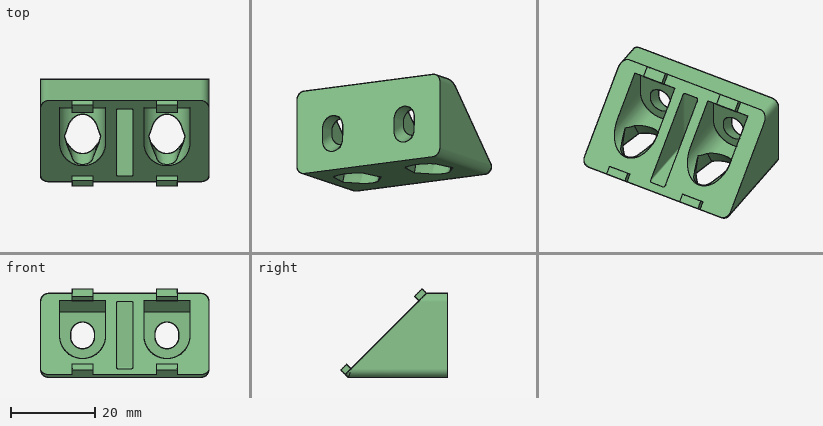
import cadquery as cq

length = 40.0
height = 20.0
top_reach = 5.05
toe_height = 0.7
corner_radius = 2.0
slope_sum = height + top_reach
toe_reach = slope_sum - toe_height

bay_spacing = 20.0
bay_centers = (-bay_spacing / 2, bay_spacing / 2)

tab_width = 5.0
tab_rise = 1.05
upper_tab_drop = 1.8
lower_tab_drop = 1.4

pocket_radius = 5.5
pocket_axis_height = 10.0
pocket_top = 18.25
pocket_wall = 4.1

back_hole_width = 5.6
back_hole_height = 6.3
back_hole_drop = 2.4

base_hole_top = 6.8
base_arc_half_width = 2.5

slot_width = 3.95
slot_floor = 2.1
slot_wall = 7.0
slot_fillet = 0.4


def extrude_across(profile, width, center=0.0):
    """Extrude a (reach, height) outline along X, centred on the given X."""
    points = [(-reach, z) for reach, z in profile]
    solid = cq.Workplane("YZ").polyline(points).close().extrude(width / 2, both=True)
    return solid.translate((center, 0, 0))


def make_body():
    profile = [
        (0, 0),
        (toe_reach - toe_height, 0),
        (toe_reach, toe_height),
        (top_reach, height),
        (0, height),
    ]
    body = extrude_across(profile, length)
    bevel_direction = cq.Vector(0, -1, 1)
    along_y = cq.selectors.ParallelDirSelector(cq.Vector(0, 1, 0))
    along_bevel = cq.selectors.ParallelDirSelector(bevel_direction)
    return body.edges(along_y + along_bevel).fillet(corner_radius)


def make_tab(center, top, drop):
    """Square-sided tab standing on the slope, downhill from height top."""
    reach = slope_sum - top
    profile = [
        (reach, top),
        (reach + tab_rise, top + tab_rise),
        (reach + drop + tab_rise, top - drop + tab_rise),
        (reach + drop, top - drop),
    ]
    return extrude_across(profile, tab_width, center)


def make_pocket(center):
    """U-shaped pocket open to the slope, with its ceiling square to the slope."""
    u_shape = (
        cq.Workplane("XZ", origin=(center, -pocket_wall, 0))
        .moveTo(-pocket_radius, height)
        .lineTo(-pocket_radius, pocket_axis_height)
        .threePointArc(
            (0, pocket_axis_height - pocket_radius),
            (pocket_radius, pocket_axis_height),
        )
        .lineTo(pocket_radius, height)
        .close()
        .extrude(toe_reach)
    )
    ceiling_offset = slope_sum - 2 * pocket_top
    limit = 2 * length
    below_ceiling = extrude_across(
        [(0, 0), (limit, 0), (limit, limit - ceiling_offset), (0, -ceiling_offset)],
        limit,
    )
    return u_shape.intersect(below_ceiling)


def make_back_hole(center):
    """Upright obround hole whose lower end drops towards the back face."""
    outer_height = back_hole_height + back_hole_drop
    return (
        cq.Workplane("XZ", origin=(center, 0, pocket_axis_height - back_hole_drop / 2))
        .slot2D(outer_height, back_hole_width, 90)
        .workplane(offset=pocket_wall)
        .center(0, back_hole_drop / 2)
        .slot2D(back_hole_height, back_hole_width, 90)
        .loft(ruled=True, combine=True)
    )


def base_hole_section(plane, back_reach, shoulder, corner, arc_start_reach, front_reach):
    """Wide back arc, straight flanks bent at the corners, and a narrow front arc.

    Shoulder and corner are (half width, reach) pairs.
    """
    shoulder_x, shoulder_reach = shoulder
    corner_x, corner_reach = corner
    return (
        plane.moveTo(-shoulder_x, -shoulder_reach)
        .threePointArc((0, -back_reach), (shoulder_x, -shoulder_reach))
        .lineTo(corner_x, -corner_reach)
        .lineTo(base_arc_half_width, -arc_start_reach)
        .threePointArc((0, -front_reach), (-base_arc_half_width, -arc_start_reach))
        .lineTo(-corner_x, -corner_reach)
        .close()
    )


def make_base_hole(center):
    """Leaning screw opening, wider at the base than inside the pocket."""
    base = cq.Workplane("XY", origin=(center, 0, 0))
    lower = base_hole_section(
        base,
        back_reach=5.5,
        shoulder=(4.2, 7.2),
        corner=(5.35, 13.2),
        arc_start_reach=16.55,
        front_reach=17.6,
    )
    upper = base_hole_section(
        lower.workplane(offset=base_hole_top),
        back_reach=9.75,
        shoulder=(3.1, 11.5),
        corner=(4.25, 13.5),
        arc_start_reach=19.25,
        front_reach=21.5,
    )
    return upper.loft(ruled=True, combine=True)


def make_slot():
    return (
        cq.Workplane("XY")
        .box(slot_width, length, length, centered=(True, False, False))
        .faces(">Y or <Z")
        .edges()
        .fillet(slot_fillet)
        .translate((0, -slot_wall - length, slot_floor))
    )


result = make_body().cut(make_slot())
for bay in bay_centers:
    result = result.cut(make_pocket(bay))
    result = result.cut(make_back_hole(bay))
    result = result.cut(make_base_hole(bay))
    result = result.union(make_tab(bay, height, upper_tab_drop))
    result = result.union(make_tab(bay, toe_height + lower_tab_drop, lower_tab_drop))